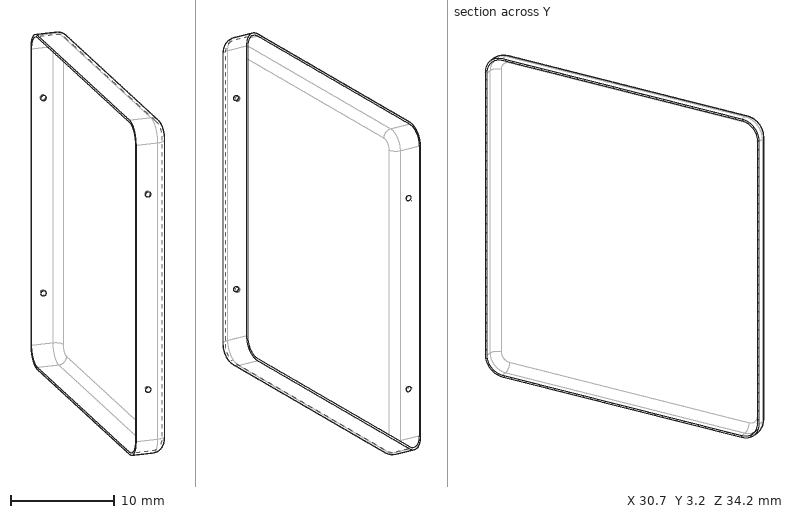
import cadquery as cq
import math

width = 30.7
depth = 3.2
height = 34.2
wall = 0.25
corner_radius = 1.95
back_edge_radius = 1.03

detent_rim_radius = 0.27
detent_height = 0.2
detent_from_rim = 1.23
detent_spacing = 19.97


def rounded_block(inset, back_y):
    """Block from the rim plane to back_y, with its corners and back edge rounded."""
    block = cq.Workplane("XY").box(
        width - 2 * inset, back_y, height - 2 * inset, centered=(True, False, True)
    )
    block = block.edges("|Y").fillet(corner_radius - inset)
    return block.faces(">Y").edges().fillet(back_edge_radius - inset)


def detent_cap(side, z, face_x):
    """Spherical cap standing on the plane X = side * face_x and pointing toward the middle."""
    sphere_radius = (detent_rim_radius**2 + detent_height**2) / (2 * detent_height)
    half_angle = math.asin(detent_rim_radius / sphere_radius) / 2
    arc_middle = (
        detent_height - sphere_radius * (1 - math.cos(half_angle)),
        sphere_radius * math.sin(half_angle),
    )
    cap = (
        cq.Workplane("XY")
        .lineTo(0, detent_rim_radius)
        .threePointArc(arc_middle, (detent_height, 0))
        .close()
        .revolve(360, (0, 0, 0), (1, 0, 0))
    )
    if side > 0:
        cap = cap.rotate((0, 0, 0), (0, 0, 1), 180)
    return cap.translate((side * face_x, detent_from_rim, z))


result = rounded_block(0, depth).cut(rounded_block(wall, depth - wall))

for side in (-1, 1):
    for z in (-detent_spacing / 2, detent_spacing / 2):
        result = result.union(detent_cap(side, z, width / 2 - wall))
        result = result.cut(detent_cap(side, z, width / 2))